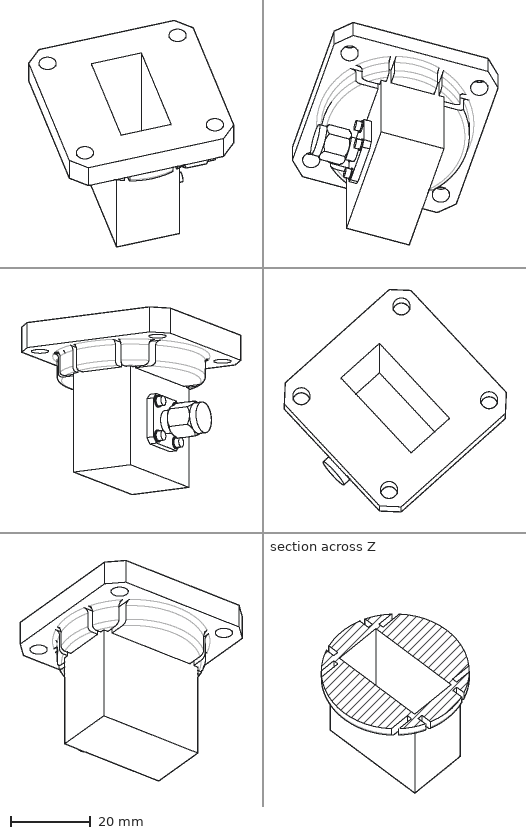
import cadquery as cq

flange_side = 42.95
flange_thickness = 6.45
flange_corner_cut = 3.8
hole_diameter = 4.3
hole_offset_x = 16.23
hole_offset_y = 16.95

total_height = 38.1
body_width = 29.3
body_depth = 16.45
cavity_width = 25.95
cavity_depth = 13.05
floor_thickness = 1.75

collar_diameter = 37.1
collar_height = 6.25
collar_edge_radius = 1.1
slot_width = 1.3
front_slot_offset = 12.75
side_slot_offset = 6.25

connector_height = 13.6
plate_side = 12.7
plate_thickness = 1.95
plate_corner_cut = 1.37
neck_diameter = 5.85
neck_length = 2.5
nut_corner_diameter = 9.0
nut_length = 6.45
barrel_diameter = 7.75
barrel_length = 1.85

screw_spacing = 8.9
washer_diameter = 2.95
washer_thickness = 0.3
screw_head_diameter = 2.45
screw_head_height = 1.37

flange_bottom = total_height - flange_thickness
collar_bottom = flange_bottom - collar_height
collar_radius = collar_diameter / 2
body_face_y = body_depth / 2
plate_face_y = body_face_y + plate_thickness
neck_end_y = plate_face_y + neck_length
nut_end_y = neck_end_y + nut_length


def make_flange():
    """Square flange with cut corners and four through holes."""
    hole_spots = [(x, y) for x in (-hole_offset_x, hole_offset_x) for y in (-hole_offset_y, hole_offset_y)]
    return (
        cq.Workplane("XY", origin=(0, 0, flange_bottom))
        .rect(flange_side, flange_side)
        .extrude(flange_thickness)
        .edges("|Z")
        .chamfer(flange_corner_cut)
        .faces(">Z")
        .workplane()
        .pushPoints(hole_spots)
        .hole(hole_diameter)
    )


def make_collar():
    """Turned collar: flared into the flange above, rounded at its lower edge, slotted down to the body."""
    profile = (
        cq.Workplane("XZ")
        .moveTo(0, flange_bottom)
        .lineTo(collar_radius + collar_edge_radius, flange_bottom)
        .radiusArc((collar_radius, flange_bottom - collar_edge_radius), -collar_edge_radius)
        .lineTo(collar_radius, collar_bottom + collar_edge_radius)
        .radiusArc((collar_radius - collar_edge_radius, collar_bottom), collar_edge_radius)
        .lineTo(0, collar_bottom)
        .close()
    )
    collar = profile.revolve(360, (0, 0, 0), (0, 1, 0))

    for side in (-1, 1):
        front_slot = cq.Workplane("XY", origin=(side * front_slot_offset, 0, collar_bottom))
        side_slot = cq.Workplane("XY", origin=(0, side * side_slot_offset, collar_bottom))
        collar = collar.cut(front_slot.rect(slot_width, flange_side).extrude(collar_height))
        collar = collar.cut(side_slot.rect(flange_side, slot_width).extrude(collar_height))
    return collar


def make_body():
    """Solid block from the bottom of the part up to the flange; it also fills the slots' inner ends."""
    return cq.Workplane("XY").rect(body_width, body_depth).extrude(flange_bottom)


def make_cavity():
    """Rectangular opening from the flange top down to the floor."""
    return (
        cq.Workplane("XY", origin=(0, 0, floor_thickness))
        .rect(cavity_width, cavity_depth)
        .extrude(total_height - floor_thickness)
    )


def connector_plane(y):
    """Plane across the connector axis at the given Y; its normal is -Y."""
    return cq.Workplane("XZ", origin=(0, y, connector_height))


def make_rod(diameter, start_y, length):
    """Round stretch of the connector, running toward +Y."""
    return connector_plane(start_y).circle(diameter / 2).extrude(-length)


def make_nut():
    """Hexagonal nut, flats facing +X and -X, corners turned down to the barrel diameter at both ends."""
    bevel = (nut_corner_diameter - barrel_diameter) / 2
    hexagon = (
        connector_plane(neck_end_y)
        .transformed(rotate=(0, 0, 90))
        .polygon(6, nut_corner_diameter)
        .extrude(-nut_length)
    )
    turned_blank = make_rod(nut_corner_diameter, neck_end_y, nut_length).edges().chamfer(bevel)
    return hexagon.intersect(turned_blank)


def make_connector():
    """Square plate with four screws, then neck, nut and barrel along +Y."""
    plate = (
        connector_plane(body_face_y)
        .rect(plate_side, plate_side)
        .extrude(-plate_thickness)
        .edges("|Y")
        .chamfer(plate_corner_cut)
    )
    washers = (
        connector_plane(plate_face_y)
        .rect(screw_spacing, screw_spacing, forConstruction=True)
        .vertices()
        .circle(washer_diameter / 2)
        .extrude(-washer_thickness)
    )
    screw_heads = (
        connector_plane(plate_face_y)
        .rect(screw_spacing, screw_spacing, forConstruction=True)
        .vertices()
        .circle(screw_head_diameter / 2)
        .extrude(-(washer_thickness + screw_head_height))
    )
    neck = make_rod(neck_diameter, plate_face_y, neck_length)
    barrel = make_rod(barrel_diameter, nut_end_y, barrel_length)
    return plate.union(washers).union(screw_heads).union(neck).union(make_nut()).union(barrel)


result = (
    make_flange()
    .union(make_collar())
    .union(make_body())
    .cut(make_cavity())
    .union(make_connector())
)